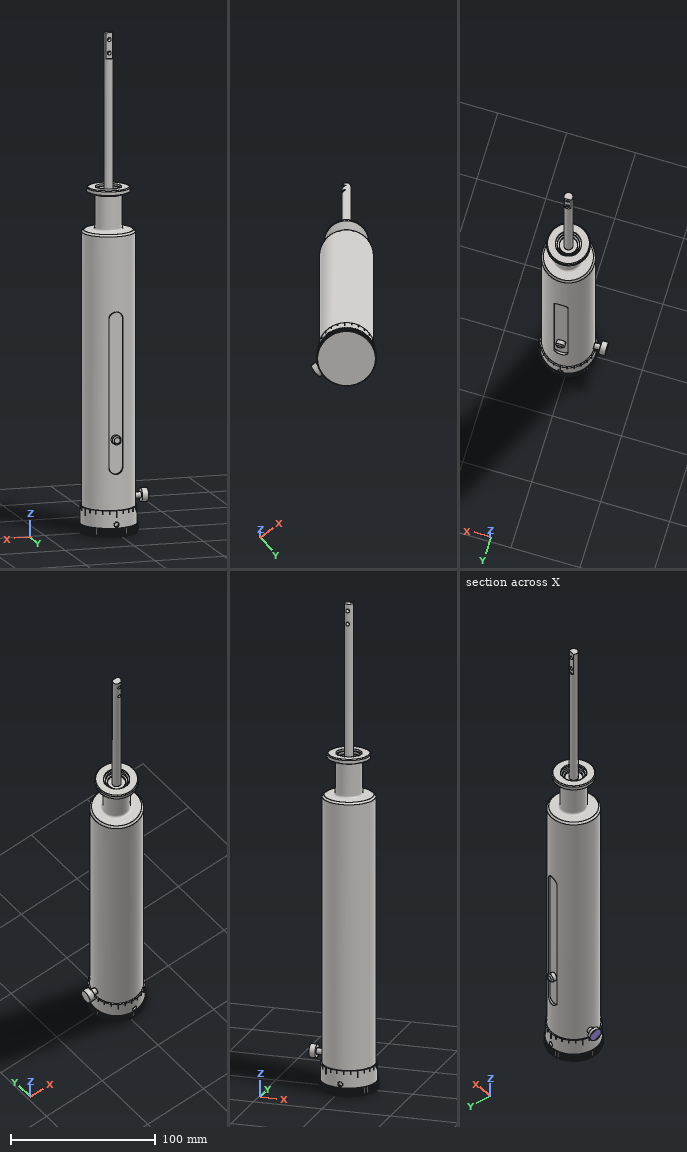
import cadquery as cq
import math

RING_TOP = 6.5
COLLAR_TOP = 18.8
BODY_TOP = 214.7
FLANGE_TOP = 245.2
ROD_TOP = 355.0

RING_DIAMETER = 41.5
KNURL_COUNT = 120
KNURL_DEPTH = 0.55
RING_CHAMFER_HEIGHT = 1.8
RING_CHAMFER_WIDTH = 0.7

COLLAR_DIAMETER = 39.7
TICK_COUNT = 25
TICKS_PER_LONG_TICK = 5
TICK_WIDTH = 0.5
TICK_DEPTH = 0.5
SHORT_TICK_LENGTH = 2.5
LONG_TICK_LENGTH = 5.0
SET_SCREW_HOLE_DIAMETER = 3.45
SET_SCREW_HOLE_DEPTH = 1.8
SET_SCREW_HEIGHT = 9.0

BODY_DIAMETER = 37.5
BODY_CHAMFER = 1.5
SLOT_WIDTH = 10.0
SLOT_DEPTH = 1.8
SLOT_BOTTOM = 44.5
SLOT_TOP = 159.7

BUTTON_DIAMETER = 6.5
BUTTON_HEIGHT = 69.0
BUTTON_OVERHANG = 0.5
BUTTON_REACH = RING_DIAMETER / 2 + BUTTON_OVERHANG
BUTTON_CHAMFER = 1.0

KNOB_DIAMETER = 10.0
KNOB_LENGTH = 4.5
KNOB_OVERHANG = 7.0
KNOB_REACH = RING_DIAMETER / 2 + KNOB_OVERHANG
STEM_DIAMETER = 4.5
SCREW_HEIGHT = 24.5

NECK_DIAMETER = 19.0
NECK_FILLET = 1.8
FLANGE_DIAMETER = 30.5
FLANGE_RIM_HEIGHT = 3.2
FLANGE_CHAMFER = 0.7
FLANGE_TAPER_HEIGHT = 2.0
RECESS_DIAMETER = 18.0
RECESS_DEPTH = 1.5
BORE_DIAMETER = 15.5
BORE_DEPTH = 3.2
SOCKET_DIAMETER = 12.8
SOCKET_DEPTH = 4.5

ROD_DIAMETER = 6.5
ROD_FLAT_LENGTH = 18.5
ROD_FLAT_DEPTH = 1.0
ROD_HOLE_DIAMETER = 2.63
ROD_HOLE_DROPS = (5.0, 14.5)


def cylinder(diameter, bottom, top):
    return cq.Workplane("XY").workplane(offset=bottom).circle(diameter / 2).extrude(top - bottom)


def ring():
    """Straight knurl of alternating tooth tips and roots, with its lower edge chamfered."""
    tip = RING_DIAMETER / 2
    outline = []
    for i in range(2 * KNURL_COUNT):
        radius = tip - KNURL_DEPTH * (i % 2)
        angle = math.pi * i / KNURL_COUNT
        outline.append((radius * math.cos(angle), radius * math.sin(angle)))
    knurl = cq.Workplane("XY").polyline(outline).close().extrude(RING_TOP)
    envelope = (
        cq.Workplane("XZ")
        .lineTo(tip - RING_CHAMFER_WIDTH, 0)
        .lineTo(tip, RING_CHAMFER_HEIGHT)
        .lineTo(tip, RING_TOP)
        .lineTo(0, RING_TOP)
        .close()
        .revolve(360, (0, 0), (0, 1))
    )
    return knurl.intersect(envelope)


def collar():
    part = cylinder(COLLAR_DIAMETER, 0, COLLAR_TOP)
    for i in range(TICK_COUNT):
        length = SHORT_TICK_LENGTH if i % TICKS_PER_LONG_TICK else LONG_TICK_LENGTH
        tick = (
            cq.Workplane("XY")
            .box(TICK_WIDTH, 2 * TICK_DEPTH, length)
            .translate((0, COLLAR_DIAMETER / 2, COLLAR_TOP - length / 2))
            .rotate((0, 0, 0), (0, 0, 1), i * 360 / TICK_COUNT)
        )
        part = part.cut(tick)
    return part


def set_screw_hole():
    """Cutter for the blind hole on the -Y side of the collar."""
    floor = COLLAR_DIAMETER / 2 - SET_SCREW_HOLE_DEPTH
    return (
        cq.Workplane("XZ")
        .workplane(offset=floor)
        .center(0, SET_SCREW_HEIGHT)
        .circle(SET_SCREW_HOLE_DIAMETER / 2)
        .extrude(2 * SET_SCREW_HOLE_DEPTH)
    )


def body():
    tube = cylinder(BODY_DIAMETER, 0, BODY_TOP).faces(">Z").chamfer(BODY_CHAMFER)
    slot = (
        cq.Workplane("XZ")
        .workplane(offset=-BODY_DIAMETER / 2)
        .center(0, (SLOT_BOTTOM + SLOT_TOP) / 2)
        .slot2D(SLOT_TOP - SLOT_BOTTOM, SLOT_WIDTH, 90)
        .extrude(SLOT_DEPTH)
    )
    return tube.cut(slot)


def button():
    return (
        cq.Workplane("XZ")
        .center(0, BUTTON_HEIGHT)
        .circle(BUTTON_DIAMETER / 2)
        .extrude(-BUTTON_REACH)
        .faces(">Y")
        .chamfer(BUTTON_CHAMFER)
    )


def thumb_screw():
    start = cq.Workplane("YZ").center(0, SCREW_HEIGHT)
    stem = start.circle(STEM_DIAMETER / 2).extrude(-KNOB_REACH)
    knob = start.workplane(offset=-KNOB_REACH).circle(KNOB_DIAMETER / 2).extrude(KNOB_LENGTH)
    return stem.union(knob)


def neck():
    """Solid of revolution: filleted root, neck, tapered flange and its stepped bore."""
    neck_radius = NECK_DIAMETER / 2
    rim_bottom = FLANGE_TOP - FLANGE_RIM_HEIGHT
    fillet_mid = NECK_FILLET * (1 - math.sqrt(0.5))
    floor = FLANGE_TOP - SOCKET_DEPTH
    bore_floor = FLANGE_TOP - BORE_DEPTH
    recess_floor = FLANGE_TOP - RECESS_DEPTH
    return (
        cq.Workplane("XZ")
        .moveTo(0, BODY_TOP)
        .lineTo(neck_radius + NECK_FILLET, BODY_TOP)
        .threePointArc(
            (neck_radius + fillet_mid, BODY_TOP + fillet_mid),
            (neck_radius, BODY_TOP + NECK_FILLET),
        )
        .lineTo(neck_radius, rim_bottom - FLANGE_TAPER_HEIGHT)
        .lineTo(FLANGE_DIAMETER / 2, rim_bottom)
        .lineTo(FLANGE_DIAMETER / 2, FLANGE_TOP - FLANGE_CHAMFER)
        .lineTo(FLANGE_DIAMETER / 2 - FLANGE_CHAMFER, FLANGE_TOP)
        .lineTo(RECESS_DIAMETER / 2, FLANGE_TOP)
        .lineTo(RECESS_DIAMETER / 2, recess_floor)
        .lineTo(BORE_DIAMETER / 2, recess_floor)
        .lineTo(BORE_DIAMETER / 2, bore_floor)
        .lineTo(SOCKET_DIAMETER / 2, bore_floor)
        .lineTo(SOCKET_DIAMETER / 2, floor)
        .lineTo(0, floor)
        .close()
        .revolve(360, (0, 0), (0, 1))
    )


def rod():
    shaft = cylinder(ROD_DIAMETER, BODY_TOP, ROD_TOP)
    flat = cq.Workplane("XY").box(ROD_DIAMETER, 2 * ROD_FLAT_DEPTH, 2 * ROD_FLAT_LENGTH)
    shaft = shaft.cut(flat.translate((0, ROD_DIAMETER / 2, ROD_TOP)))
    for drop in ROD_HOLE_DROPS:
        hole = (
            cq.Workplane("XZ")
            .center(0, ROD_TOP - drop)
            .circle(ROD_HOLE_DIAMETER / 2)
            .extrude(ROD_DIAMETER, both=True)
        )
        shaft = shaft.cut(hole)
    return shaft


hole = set_screw_hole()
result = (
    collar()
    .union(ring())
    .union(body())
    .union(button())
    .union(thumb_screw())
    .union(neck())
    .union(rod())
    .cut(hole)
    .cut(hole.mirror("XZ"))
)